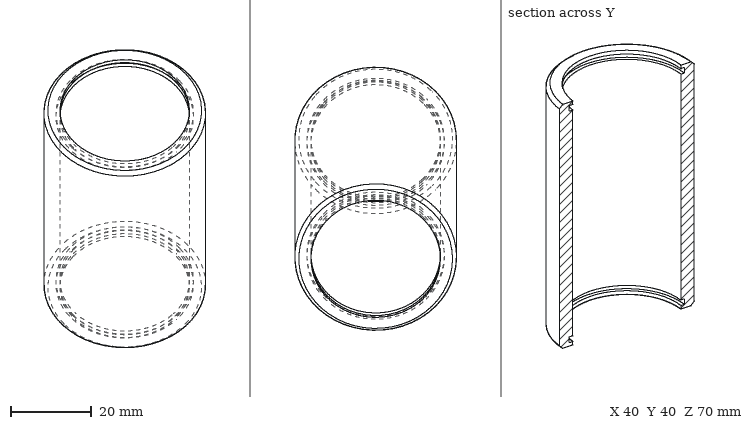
import cadquery as cq

OUTER_DIAMETER = 40.0
BORE_DIAMETER = 32.0
LENGTH = 70.0
CHAMFER = 1.0

GROOVE_DIAMETER = 34.0
GROOVE_WIDTH = 1.5
GROOVE_SETBACK = 1.1


def disc(diameter, bottom, height):
    """Solid cylinder on the Z axis that stands on the given bottom height."""
    base = cq.Workplane("XY").workplane(offset=bottom)
    return base.circle(diameter / 2).extrude(height)


def make_sleeve():
    """Plain tube with both outer end edges chamfered."""
    body = disc(OUTER_DIAMETER, -LENGTH / 2, LENGTH).faces("|Z").chamfer(CHAMFER)
    return body.cut(disc(BORE_DIAMETER, -LENGTH / 2, LENGTH))


def cut_grooves(sleeve):
    """Cut the same ring groove into the bore wall at the bottom and top ends."""
    bottom_groove_floor = -LENGTH / 2 + GROOVE_SETBACK
    top_groove_floor = LENGTH / 2 - GROOVE_SETBACK - GROOVE_WIDTH
    for groove_floor in (bottom_groove_floor, top_groove_floor):
        sleeve = sleeve.cut(disc(GROOVE_DIAMETER, groove_floor, GROOVE_WIDTH))
    return sleeve


result = cut_grooves(make_sleeve())